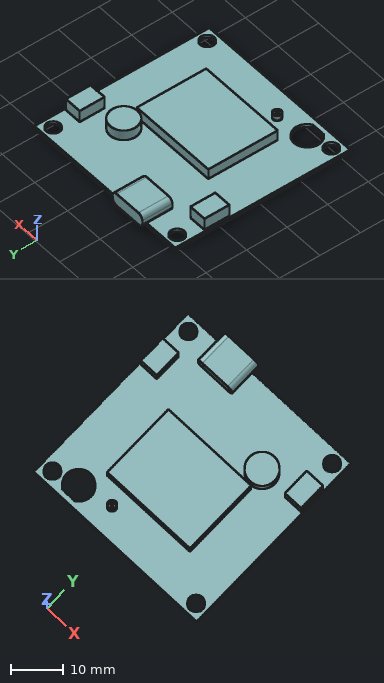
import cadquery as cq

board_side = 43.2
board_thickness = 0.8
board_edge = board_side / 2
mount_hole_diameter = 3.35
mount_hole_inset = 2.6

cutout_diameter = 6.4
cutout_x = -13.4
cutout_y = -17.55
cutout_flat_offset = 2.7

connector_width = 9.07
connector_length = 7.4
overall_height = 4.02
connector_height = overall_height - board_thickness
connector_radius = 1.2
connector_x = -8.85
overall_length = 44.7
connector_overhang = overall_length - board_side

block_width = 4.3
block_length = 6.12
block_height = 2.95
block_edge_gap = 0.35
block_y = 11.05

module_width = 21.9
module_length = 17.1
module_height = 2.55
module_x = 0.2
module_y = -3.85

disc_diameter = 6.75
disc_x = 10.35
disc_y = 8.55

socket_outer_diameter = 1.95
socket_inner_diameter = 1.7
socket_pin_diameter = 0.63
socket_height = 1.3
socket_x = -5.85
socket_y = -16.23


def on_board(x, y):
    """Workplane on the board's top face, centred at (x, y)."""
    return cq.Workplane("XY", origin=(x, y, board_thickness))


def box_on_board(x, y, width, length, height):
    return on_board(x, y).box(width, length, height, centered=(True, True, False))


def make_cutout():
    circle = cq.Workplane("XY").center(cutout_x, cutout_y).circle(cutout_diameter / 2).extrude(board_thickness)
    keep = (
        cq.Workplane("XY")
        .center(cutout_x, cutout_y - cutout_flat_offset)
        .box(cutout_diameter, cutout_diameter, board_thickness, centered=(True, False, False))
    )
    return circle.intersect(keep)


def make_board():
    hole_spacing = board_side - 2 * mount_hole_inset
    board = cq.Workplane("XY").box(board_side, board_side, board_thickness, centered=(True, True, False))
    holes = (
        cq.Workplane("XY")
        .rect(hole_spacing, hole_spacing, forConstruction=True)
        .vertices()
        .circle(mount_hole_diameter / 2)
        .extrude(board_thickness)
    )
    return board.cut(holes).cut(make_cutout())


def make_connector():
    center_y = board_edge + connector_overhang - connector_length / 2
    connector = box_on_board(connector_x, center_y, connector_width, connector_length, connector_height)
    return connector.edges("|Y").fillet(connector_radius)


def make_side_block(side):
    center_x = side * (board_edge - block_edge_gap - block_width / 2)
    return box_on_board(center_x, block_y, block_width, block_length, block_height)


def make_module():
    return box_on_board(module_x, module_y, module_width, module_length, module_height)


def make_disc():
    return on_board(disc_x, disc_y).circle(disc_diameter / 2).extrude(module_height)


def make_socket():
    sleeve = (
        on_board(socket_x, socket_y)
        .circle(socket_outer_diameter / 2)
        .circle(socket_inner_diameter / 2)
        .extrude(socket_height)
    )
    pin = on_board(socket_x, socket_y).circle(socket_pin_diameter / 2).extrude(socket_height)
    return sleeve.union(pin)


result = make_board().union(make_connector())
for side in (-1, 1):
    result = result.union(make_side_block(side))
result = result.union(make_module()).union(make_disc()).union(make_socket())